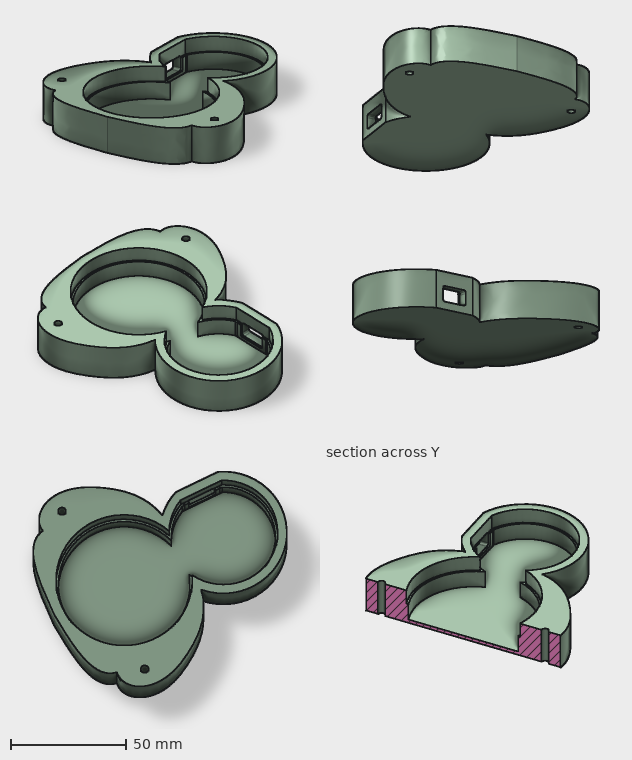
import cadquery as cq
import math

HEIGHT = 17.0
WIDTH = 95.67
LENGTH = 109.93

HEAD_RADIUS = 27.6
HEAD_Y = 48.2
HEAD_FLAT_X = -25.6

FLOOR_Z = 2.0
LEDGE_Z = 10.0
LEDGE_WIDTH = 1.0
HEAD_POCKET_RADIUS = 23.6
BODY_POCKET_RADIUS = 29.6
POCKET_FLAT_X = -21.4

NECK_Y = 28.0
NECK_X = math.sqrt(HEAD_RADIUS**2 - (NECK_Y - HEAD_Y) ** 2)
WING_TIP = (WIDTH / 2, -7.1)
WING_END = (35.8, -21.55)
TAIL = (0.0, HEAD_Y + HEAD_RADIUS - LENGTH)

WING_SHOULDER = [(31.2, 22.4), (41.4, 10.8)]
WING_UNDERSIDE = [(46.2, -15.2), (42.0, -20.2)]

TAIL_HANDLES = [(34.3, -32.8), (14.3, -33.3)]

SCREW_HOLE_DIAMETER = 3.4
SCREW_HOLE_X = 40.0
SCREW_HOLE_Y = -10.1

WINDOW_WIDTH = 13.0
WINDOW_HEIGHT = 7.0
WINDOW_BOTTOM_Z = 3.6
WINDOW_CORNER_RADIUS = 1.2

PLATE_MARGIN = 2.1
PLATE_WIDTH = WINDOW_WIDTH + 2 * PLATE_MARGIN


def mirrored(points):
    """The points reflected to the left half, in reverse order."""
    return [(-x, y) for x, y in reversed(points)]


def flat_sided_disc(radius, flat_x, height):
    """Disc at the head's centre, cut straight along Y at flat_x on its left."""
    flat_half = math.sqrt(radius**2 - flat_x**2)
    return (
        cq.Workplane("XY")
        .moveTo(flat_x, HEAD_Y - flat_half)
        .threePointArc((radius, HEAD_Y), (flat_x, HEAD_Y + flat_half))
        .close()
        .extrude(height)
    )


def body_block():
    """Winged body, as a full-height block closed straight across the neck."""
    wing = [(NECK_X, NECK_Y), *WING_SHOULDER, WING_TIP, *WING_UNDERSIDE, WING_END]
    tail = [WING_END, *TAIL_HANDLES, TAIL]
    outline = (
        cq.Workplane("XY")
        .moveTo(NECK_X, NECK_Y)
        .spline(wing[1:], includeCurrent=True)
        .bezier(tail[1:], includeCurrent=True)
        .bezier(mirrored(tail)[1:], includeCurrent=True)
        .spline(mirrored(wing)[1:], includeCurrent=True)
    )
    return outline.close().extrude(HEIGHT)


def pocket(inset, bottom_z):
    """Joined head and body pocket, its walls moved inward by inset, open at the top."""
    depth = HEIGHT - bottom_z
    head = flat_sided_disc(HEAD_POCKET_RADIUS - inset, POCKET_FLAT_X + inset, depth)
    body = cq.Workplane("XY").circle(BODY_POCKET_RADIUS - inset).extrude(depth)
    return head.union(body).translate((0, 0, bottom_z))


def connector_window():
    """Rounded bar along X that opens the flat wall and the plate behind it."""
    end_x = POCKET_FLAT_X + LEDGE_WIDTH
    length = end_x - HEAD_FLAT_X
    return (
        cq.Workplane("XY")
        .box(length, WINDOW_WIDTH, WINDOW_HEIGHT)
        .edges("|X")
        .fillet(WINDOW_CORNER_RADIUS)
        .translate((HEAD_FLAT_X + length / 2, HEAD_Y, WINDOW_BOTTOM_Z + WINDOW_HEIGHT / 2))
    )


def plate_block():
    """Plate without its opening, as thick as the ledge and flush with its top."""
    return (
        cq.Workplane("XY")
        .box(LEDGE_WIDTH, PLATE_WIDTH, LEDGE_Z - FLOOR_Z, centered=(False, True, False))
        .translate((POCKET_FLAT_X, HEAD_Y, FLOOR_Z))
    )


def make_housing():
    screw_holes = (
        cq.Workplane("XY")
        .pushPoints([(side * SCREW_HOLE_X, SCREW_HOLE_Y) for side in (-1, 1)])
        .circle(SCREW_HOLE_DIAMETER / 2)
        .extrude(HEIGHT)
    )
    return (
        flat_sided_disc(HEAD_RADIUS, HEAD_FLAT_X, HEIGHT)
        .union(body_block())
        .cut(pocket(0, LEDGE_Z))
        .cut(pocket(LEDGE_WIDTH, FLOOR_Z))
        .cut(screw_holes)
        .cut(plate_block())
        .cut(connector_window())
    )


def make_connector_plate():
    return plate_block().cut(connector_window())


housing = make_housing()
connector_plate = make_connector_plate()

result = cq.Compound.makeCompound([housing.solids().val(), connector_plate.solids().val()])